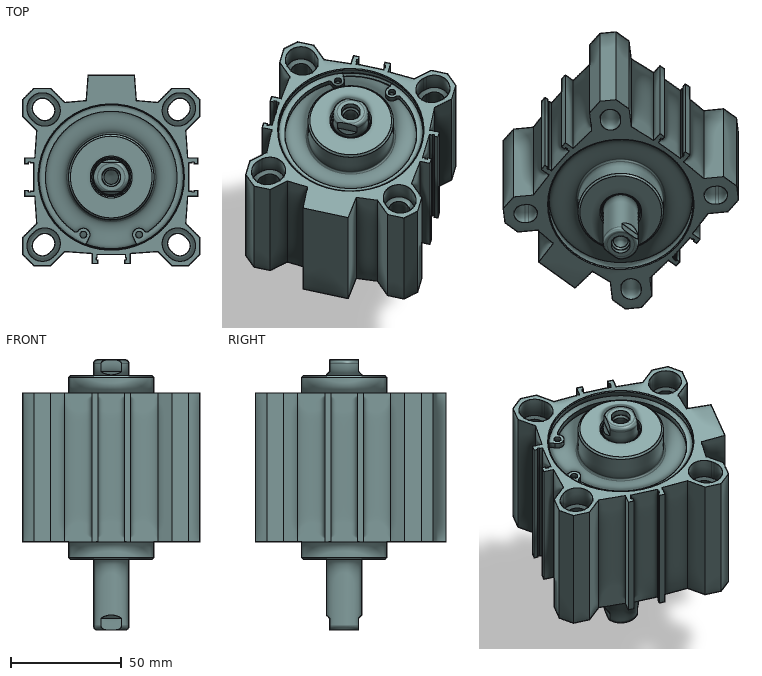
import cadquery as cq
import math


HOUSING_HEIGHT = 67.2
LOBE_REACH = 40.0
LOBE_CHAMFER = 5.1
LOBE_FLAT_END = 27.3
WAIST_REACH = 33.7
BULGE_REACH = 35.0
RAIL_ROOT_REACH = 34.5

PORT_REACH = 46.0
PORT_ROOT_HALF = 11.3
PORT_TIP_HALF = 10.5

RAIL_REACH = 39.0
RAIL_OUTER = 8.7
RAIL_INNER = 6.3
RAIL_NOTCH = 6.7
RAIL_HOOK = 6.0
NOTCH_START = 36.4
NOTCH_END = 37.3

BORE_DIA = 63.0
SEAT_DIA = 65.1
MOUTH_CHAMFER = 0.43
BOLT_OFFSET = 30.5
BOLT_SLOT_TRAVEL = 1.5
BOLT_HOLE_WIDTH = 9.0
BOLT_SINK_WIDTH = 14.0
BOLT_SINK_DEPTH = 10.1

RING_DIA = 68.2
RING_BORE_DIA = 59.4
RING_THICKNESS = 2.8
RING_DEPTH = 2.8
EYE_X = 12.6
EYE_Y = 26.0
EYE_DIA = 5.9
EYE_HOLE_DIA = 3.0
EYE_FILLET = 1.2

COVER_DIA = 64.7
COVER_THICKNESS = 7.3
COLLAR_DIA = 38.5
COLLAR_RISE = 7.8
COLLAR_CHAMFER = 0.9
COLLAR_BASE_FILLET = 0.9
WIPER_DIA = 17.7
WIPER_DEPTH = 1.2
WIPER_CHAMFER = 0.6
RELIEF_DIA = 16.6
RELIEF_DEPTH = 2.5

ROD_DIA = 16.0
ROD_LENGTH = 122.0
ROD_TOP_RISE = 15.0
ROD_FILLET = 1.8
FLATS_WIDTH = 13.0
FLATS_LENGTH = 5.4
SOCKET_DIA = 8.5
SOCKET_DEPTH = 2.8
SOCKET_CONE_DIA = 8.3
PILOT_DIA = 6.6
PILOT_DEPTH = 14.6
DRILL_TIP_HALF_ANGLE = 82.0

RING_BOTTOM = RING_DEPTH + RING_THICKNESS
SEAT_DEPTH = RING_BOTTOM + COVER_THICKNESS


def disc(diameter, bottom, height):
    return cq.Workplane("XY").workplane(offset=bottom).circle(diameter / 2).extrude(height)


def corner_lobe():
    """Corner outline in the +X +Y quadrant, running counter-clockwise."""
    half = [
        (WAIST_REACH, WAIST_REACH - LOBE_REACH + LOBE_FLAT_END),
        (LOBE_REACH, LOBE_FLAT_END),
        (LOBE_REACH, LOBE_REACH - LOBE_CHAMFER),
    ]
    return half + [(y, x) for x, y in reversed(half)]


def rail_side():
    """The two hooked rails of the +X side, running counter-clockwise."""
    lower = [
        (RAIL_ROOT_REACH, -RAIL_OUTER),
        (RAIL_REACH, -RAIL_OUTER),
        (RAIL_REACH, -RAIL_HOOK),
        (NOTCH_END, -RAIL_HOOK),
        (NOTCH_END, -RAIL_NOTCH),
        (NOTCH_START, -RAIL_NOTCH),
        (NOTCH_START, -RAIL_INNER),
        (BULGE_REACH, -RAIL_INNER),
    ]
    return lower + [(x, -y) for x, y in reversed(lower)]


def port_side():
    """The port block, written for the +X side, running counter-clockwise."""
    lower = [(RAIL_ROOT_REACH, -PORT_ROOT_HALF), (PORT_REACH, -PORT_TIP_HALF)]
    return lower + [(x, -y) for x, y in reversed(lower)]


def quarter_turns(points, turns):
    for _ in range(turns):
        points = [(-y, x) for x, y in points]
    return points


def mouth_chamfer():
    """Cone that breaks the edge of the bottom seat."""
    mouth_radius = SEAT_DIA / 2 + MOUTH_CHAMFER
    return cq.Workplane(cq.Solid.makeCone(mouth_radius, SEAT_DIA / 2, MOUTH_CHAMFER))


def bolt_slot(width, depth, angle):
    """Cutter from the top face down, for the lobe that lies at this angle."""
    distance = math.hypot(BOLT_OFFSET, BOLT_OFFSET)
    slot = (
        cq.Workplane("XY").workplane(offset=HOUSING_HEIGHT)
        .center(distance, 0)
        .slot2D(BOLT_SLOT_TRAVEL + width, width)
        .extrude(-depth)
    )
    return slot.rotate((0, 0, 0), (0, 0, 1), angle)


def make_housing():
    outline = []
    for turn, side in enumerate([rail_side(), port_side(), rail_side(), rail_side()]):
        outline += quarter_turns(side + corner_lobe(), turn)
    body = cq.Workplane("XY").polyline(outline).close().extrude(HOUSING_HEIGHT)

    body = body.cut(disc(BORE_DIA, 0, HOUSING_HEIGHT))
    body = body.cut(disc(SEAT_DIA, 0, SEAT_DEPTH))
    body = body.cut(disc(SEAT_DIA, HOUSING_HEIGHT - SEAT_DEPTH, SEAT_DEPTH))
    body = body.cut(mouth_chamfer())
    body = body.cut(mouth_chamfer().mirror("XY", (0, 0, HOUSING_HEIGHT / 2)))

    body = body.cut(disc(RING_DIA, HOUSING_HEIGHT - RING_BOTTOM, RING_THICKNESS))

    for angle in (45, 135, 225, 315):
        body = body.cut(bolt_slot(BOLT_HOLE_WIDTH, HOUSING_HEIGHT, angle))
        body = body.cut(bolt_slot(BOLT_SINK_WIDTH, BOLT_SINK_DEPTH, angle))
    return body


def make_cover():
    """Cover with its collar toward +Z, placed in the top seat."""
    plate_top = HOUSING_HEIGHT - RING_BOTTOM
    plate_bottom = plate_top - COVER_THICKNESS
    collar_top = HOUSING_HEIGHT + COLLAR_RISE
    collar_radius = COLLAR_DIA / 2
    wiper_radius = WIPER_DIA / 2
    fillet_center = (collar_radius + COLLAR_BASE_FILLET, plate_top + COLLAR_BASE_FILLET)
    fillet_middle = tuple(c - COLLAR_BASE_FILLET * math.sqrt(0.5) for c in fillet_center)
    profile = (
        cq.Workplane("XZ")
        .moveTo(ROD_DIA / 2, plate_bottom)
        .lineTo(COVER_DIA / 2, plate_bottom)
        .lineTo(COVER_DIA / 2, plate_top)
        .lineTo(fillet_center[0], plate_top)
        .threePointArc(fillet_middle, (collar_radius, fillet_center[1]))
        .lineTo(collar_radius, collar_top - COLLAR_CHAMFER)
        .lineTo(collar_radius - COLLAR_CHAMFER, collar_top)
        .lineTo(wiper_radius + WIPER_CHAMFER, collar_top)
        .lineTo(wiper_radius, collar_top - WIPER_CHAMFER)
        .lineTo(wiper_radius, collar_top - WIPER_DEPTH)
        .lineTo(RELIEF_DIA / 2, collar_top - WIPER_DEPTH)
        .lineTo(RELIEF_DIA / 2, collar_top - RELIEF_DEPTH)
        .lineTo(ROD_DIA / 2, collar_top - RELIEF_DEPTH)
        .close()
    )
    return profile.revolve(360, (0, 0, 0), (0, 1, 0))


def make_retaining_ring():
    bottom = HOUSING_HEIGHT - RING_BOTTOM
    base = cq.Workplane("XY").workplane(offset=bottom)
    ring = base.circle(RING_DIA / 2).circle(RING_BORE_DIA / 2).extrude(RING_THICKNESS)

    eye_angle = math.atan2(EYE_X, EYE_Y)
    eye_radius = EYE_DIA / 2
    start = (EYE_X - eye_radius * math.cos(eye_angle), -EYE_Y - eye_radius * math.sin(eye_angle))
    end = (start[0] + RING_DIA * math.sin(eye_angle), start[1] - RING_DIA * math.cos(eye_angle))
    gap = [start, end, (-end[0], end[1]), (-start[0], start[1])]
    ring = ring.cut(base.polyline(gap).close().extrude(RING_THICKNESS))

    eyes = [(-EYE_X, -EYE_Y), (EYE_X, -EYE_Y)]
    ring = ring.union(base.pushPoints(eyes).circle(eye_radius).extrude(RING_THICKNESS))

    bore_radius = RING_BORE_DIA / 2
    eye_distance = math.hypot(EYE_X, EYE_Y)
    spread = math.acos(
        (bore_radius**2 + eye_distance**2 - eye_radius**2) / (2 * bore_radius * eye_distance)
    )
    corner_x = bore_radius * math.sin(eye_angle + spread)
    corner_y = -bore_radius * math.cos(eye_angle + spread)
    for x in (-corner_x, corner_x):
        corner = (x, corner_y, bottom + RING_THICKNESS / 2)
        ring = ring.edges("|Z").edges(cq.selectors.NearestToPointSelector(corner)).fillet(EYE_FILLET)

    return ring.cut(base.pushPoints(eyes).circle(EYE_HOLE_DIA / 2).extrude(RING_THICKNESS))


def make_rod_end_socket():
    """Stepped blind hole, opening at the rod's top end."""
    top = HOUSING_HEIGHT + ROD_TOP_RISE
    cone_depth = (SOCKET_CONE_DIA - PILOT_DIA) / 2
    tip = PILOT_DIA / 2 / math.tan(math.radians(DRILL_TIP_HALF_ANGLE))
    profile = [
        (0, top),
        (SOCKET_DIA / 2, top),
        (SOCKET_DIA / 2, top - SOCKET_DEPTH),
        (SOCKET_CONE_DIA / 2, top - SOCKET_DEPTH),
        (PILOT_DIA / 2, top - SOCKET_DEPTH - cone_depth),
        (PILOT_DIA / 2, top - PILOT_DEPTH),
        (0, top - PILOT_DEPTH - tip),
    ]
    return cq.Workplane("XZ").polyline(profile).close().revolve(360, (0, 0, 0), (0, 1, 0))


def make_wrench_flat():
    """Cutter for one flat on the -Y side of the rod's top end, with a 45 degree run-out."""
    top = HOUSING_HEIGHT + ROD_TOP_RISE
    flat_y = -FLATS_WIDTH / 2
    profile = [
        (flat_y, top),
        (flat_y, top - FLATS_LENGTH),
        (flat_y - ROD_DIA, top - FLATS_LENGTH - ROD_DIA),
        (flat_y - ROD_DIA, top),
    ]
    return cq.Workplane("YZ").polyline(profile).close().extrude(ROD_DIA / 2, both=True)


def make_rod():
    top = HOUSING_HEIGHT + ROD_TOP_RISE
    middle = top - ROD_LENGTH / 2
    rod = disc(ROD_DIA, top - ROD_LENGTH, ROD_LENGTH).faces("<Z or >Z").edges().fillet(ROD_FILLET)
    flat = make_wrench_flat()
    end_cut = make_rod_end_socket().union(flat).union(flat.mirror("XZ"))
    return rod.cut(end_cut).cut(end_cut.mirror("XY", (0, 0, middle)))


housing = make_housing()
top_cover = make_cover()
bottom_cover = make_cover().mirror("XY", (0, 0, HOUSING_HEIGHT / 2))
retaining_ring = make_retaining_ring()
rod = make_rod()

result = cq.Compound.makeCompound([
    housing.val(),
    top_cover.val(),
    bottom_cover.val(),
    retaining_ring.val(),
    rod.val(),
])